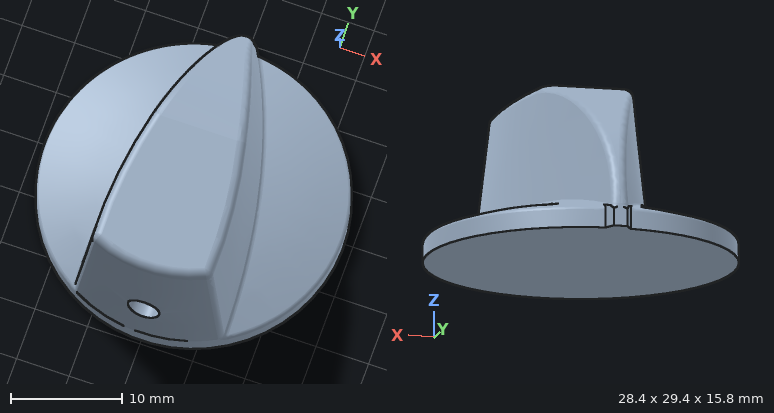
import cadquery as cq
import math

disc_diameter = 28.43
disc_radius = disc_diameter / 2
rim_height = 1.95
dome_height = 4.4
rim_fillet = 0.45

total_height = 15.75
draft_angle = 6.2
foot_height = 2.05
overall_length = 29.35
tip_y = overall_length - disc_radius
overrun_y = 15.7
overrun_half_width = 0.3
side_mid_y = 1.47
side_mid_half_width = 5.95
heel_half_width = 7.1

back_start_y = 1.47
back_mid_y = 11.75
back_mid_z = 10.33

heel_fillet = 0.73
top_fillet = 0.88
foot_fillet = 0.45

hole_diameter = 3.0
hole_height = 7.2
hole_depth = 4.4

margin = 2.93
tolerance = 0.03


def grip_outline(growth):
    """Plan outline of the grip at foot height, widened by growth on every side."""
    heel_radius = disc_radius + growth
    heel_x = heel_half_width + growth
    heel_y = -math.sqrt(heel_radius**2 - heel_x**2)
    mid_x = side_mid_half_width + growth
    end_x = overrun_half_width + growth
    return (
        cq.Workplane("XY")
        .moveTo(-heel_x, heel_y)
        .threePointArc((0, -heel_radius), (heel_x, heel_y))
        .threePointArc((mid_x, side_mid_y), (end_x, overrun_y))
        .lineTo(-end_x, overrun_y)
        .threePointArc((-mid_x, side_mid_y), (-heel_x, heel_y))
        .close()
    )


def make_dome():
    """Spherical cap that overhangs the disc edge; it is trimmed to the plan later."""
    cap_rise = dome_height - rim_height
    sphere_radius = (disc_radius**2 + cap_rise**2) / (2 * cap_rise)
    sphere = cq.Workplane("XY", origin=(0, 0, dome_height - sphere_radius)).sphere(sphere_radius)
    return cq.Workplane("XY").circle(disc_radius + margin).extrude(2 * dome_height).intersect(sphere)


def is_top_edge(edge):
    """True for the border of the flat top and its run down both sides of the curved back."""
    box = edge.BoundingBox()
    reaches_top = box.zmax > total_height - tolerance
    lies_on_top = box.zmin > total_height - tolerance
    on_curved_back = box.ymax > tip_y - tolerance
    return reaches_top and (lies_on_top or on_curved_back) and box.ylen > tolerance


def is_foot_edge(edge):
    """True for the edges along which both grip sides meet the dome."""
    box = edge.BoundingBox()
    below_top = box.zmax < dome_height
    above_base = box.zmax > (rim_height + dome_height) / 2 - tolerance
    return below_top and above_base and box.xlen > tolerance and box.ylen > disc_radius / 2


def is_rim_edge(edge):
    """True for the upper edge of the disc on both sides of the grip."""
    box = edge.BoundingBox()
    return abs(box.zmax - rim_height) < tolerance and box.ylen > disc_radius / 2


def fillet_where(body, is_wanted, radius):
    """Round every edge of the body that passes the given test."""
    wanted = [edge for edge in body.edges().vals() if is_wanted(edge)]
    return body.newObject(wanted).fillet(radius)


def make_grip():
    """Drafted blade cut by the curved back, with rounded heel corners and top edges."""
    base_growth = foot_height * math.tan(math.radians(draft_angle))
    blade = grip_outline(base_growth).extrude(total_height, taper=draft_angle)
    back_cutter = (
        cq.Workplane("YZ")
        .moveTo(tip_y, -margin)
        .lineTo(tip_y, foot_height)
        .threePointArc((back_mid_y, back_mid_z), (back_start_y, total_height))
        .lineTo(back_start_y, total_height + margin)
        .lineTo(tip_y + margin, total_height + margin)
        .lineTo(tip_y + margin, -margin)
        .close()
        .extrude(disc_radius, both=True)
    )
    heel_corners = cq.selectors.BoxSelector(
        (-disc_radius, -disc_radius, dome_height),
        (disc_radius, -disc_radius / 2, total_height - margin),
    )
    grip = blade.cut(back_cutter).edges(heel_corners).fillet(heel_fillet)
    return fillet_where(grip, is_top_edge, top_fillet)


def make_plan_limit():
    """Upright body with the plan shape of the knob: the disc plus the pointer tip."""
    disc = cq.Workplane("XY").circle(disc_radius).extrude(total_height)
    tip_zone = cq.Workplane("XY").box(
        disc_radius, tip_y, total_height, centered=(True, False, False)
    )
    tip = grip_outline(0).extrude(total_height).intersect(tip_zone)
    return disc.union(tip)


def make_hole():
    """Blind round hole running inward along +Y from the heel face."""
    return (
        cq.Workplane("XZ", origin=(0, -disc_radius, hole_height))
        .circle(hole_diameter / 2)
        .extrude(-hole_depth)
    )


knob = fillet_where(make_dome().union(make_grip()), is_foot_edge, foot_fillet)
knob = knob.intersect(make_plan_limit())
knob = fillet_where(knob, is_rim_edge, rim_fillet)
result = knob.cut(make_hole())